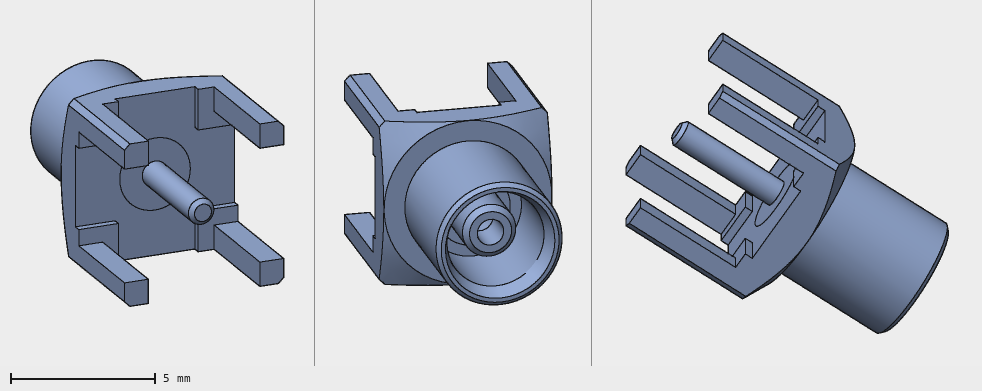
import cadquery as cq

length = 10.0

barrel_diameter = 4.5
barrel_length = 4.5
barrel_chamfer = 0.15
bore_diameter = 3.46
bore_depth = 3.8
lead_in_diameter = 3.9
lead_in_depth = 0.65

flange_side = 6.0
corner_diameter = 8.2
cone_small_diameter = 5.98
cone_depth = 0.65
recess_x = 5.75
recess_width = 3.0
leg_root_x = 6.04
leg_width = 0.9
leg_gap = flange_side - 2 * leg_width

insulator_diameter = 2.66

tip_x = 1.34
head_diameter = 1.9
head_chamfer = 0.2
socket_diameter = 0.94
socket_depth = 1.5
socket_point_depth = 0.28
tail_diameter = 0.96
tail_end_x = 9.9
tail_chamfer = 0.16


def cylinder(diameter, x_start, x_end):
    """Solid cylinder about the X axis."""
    return cq.Workplane("YZ", origin=(x_start, 0, 0)).circle(diameter / 2).extrude(x_end - x_start)


def cone(start_diameter, end_diameter, x_start, x_end):
    """Solid cone frustum about the X axis."""
    axis_start = cq.Vector(x_start, 0, 0)
    axis_direction = cq.Vector(1, 0, 0)
    frustum = cq.Solid.makeCone(
        start_diameter / 2, end_diameter / 2, x_end - x_start, axis_start, axis_direction
    )
    return cq.Workplane(frustum)


def cross_slots(width, x_start):
    """Two crossing slots, along Y and along Z, open at the leg end."""
    depth = length - x_start
    along_y = cq.Workplane("XY").box(depth, flange_side, width, centered=(False, True, True))
    along_z = cq.Workplane("XY").box(depth, width, flange_side, centered=(False, True, True))
    return along_y.union(along_z).translate((x_start, 0, 0))


def make_flange():
    """Square block with turned corners and a coned front, slotted into four legs."""
    block = cq.Workplane("YZ", origin=(barrel_length, 0, 0)).rect(flange_side, flange_side)
    block = block.extrude(length - barrel_length)
    cone_end_x = barrel_length + cone_depth
    turned = cone(cone_small_diameter, corner_diameter, barrel_length, cone_end_x)
    turned = turned.union(cylinder(corner_diameter, cone_end_x, length))
    flange = block.intersect(turned)
    flange = flange.cut(cross_slots(recess_width, recess_x))
    return flange.cut(cross_slots(leg_gap, leg_root_x))


def make_housing():
    """Flange and barrel, with a bore in front and a through hole for the insulator."""
    barrel = cylinder(barrel_diameter, 0, barrel_length).faces("<X").chamfer(barrel_chamfer)
    housing = make_flange().union(barrel)
    housing = housing.cut(cylinder(bore_diameter, 0, bore_depth))
    housing = housing.cut(cone(lead_in_diameter, bore_diameter, 0, lead_in_depth))
    return housing.cut(cylinder(insulator_diameter, bore_depth, recess_x))


def make_insulator():
    """Plain bush between the housing and the contact tail."""
    bush = cylinder(insulator_diameter, bore_depth, recess_x)
    return bush.cut(cylinder(tail_diameter, bore_depth, recess_x))


def make_contact():
    """Socket head seated on the insulator, with a drilled socket and a round tail."""
    head = cylinder(head_diameter, tip_x, bore_depth).faces("<X").chamfer(head_chamfer)
    tail = cylinder(tail_diameter, bore_depth, tail_end_x).faces(">X").chamfer(tail_chamfer)
    socket_end_x = tip_x + socket_depth
    socket = cylinder(socket_diameter, tip_x, socket_end_x)
    point_end_x = socket_end_x + socket_point_depth
    drill_point = cone(socket_diameter, 0, socket_end_x, point_end_x)
    return head.union(tail).cut(socket).cut(drill_point)


housing = make_housing()
insulator = make_insulator()
contact = make_contact()

result = cq.Compound.makeCompound([housing.val(), insulator.val(), contact.val()])